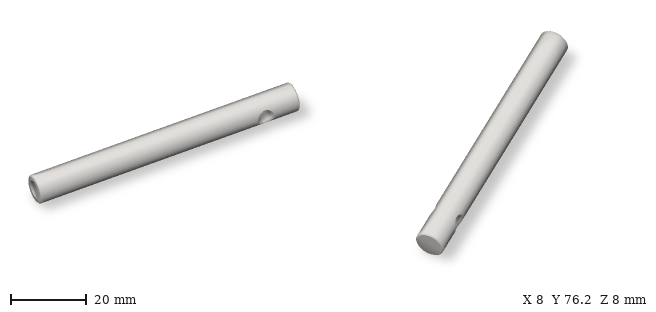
import cadquery as cq
import math

length = 76.2
rod_diameter = 8.0
end_chamfer = 0.3

bore_diameter = 5.0
bore_depth = 20.0
drill_point_angle = 118.0

cross_diameter = 4.05
cross_end_distance = 10.0
cross_edge_chamfer = 0.4

bore_radius = bore_diameter / 2
bore_tip_length = bore_radius / math.tan(math.radians(drill_point_angle / 2))
front_y = -length / 2
cross_y = length / 2 - cross_end_distance


def make_rod():
    """Round bar with both ends chamfered."""
    rod = cq.Workplane("XZ").circle(rod_diameter / 2).extrude(length / 2, both=True)
    return rod.faces("<Y or >Y").chamfer(end_chamfer)


def drill_cross_hole(body):
    """Through hole with both of its curved rims broken by a chamfer."""
    cutter = (
        cq.Workplane("YZ")
        .center(cross_y, 0)
        .circle(cross_diameter / 2)
        .extrude(rod_diameter, both=True)
    )
    rim_zone = cq.selectors.BoxSelector(
        (-rod_diameter, cross_y - cross_diameter, -rod_diameter),
        (rod_diameter, cross_y + cross_diameter, rod_diameter),
        boundingbox=True,
    )
    return body.cut(cutter).edges(rim_zone).chamfer(cross_edge_chamfer)


def make_bore():
    """Drill shape: a cylinder ending in a conical point."""
    return (
        cq.Workplane("XY")
        .moveTo(0, front_y)
        .lineTo(bore_radius, front_y)
        .lineTo(bore_radius, front_y + bore_depth)
        .lineTo(0, front_y + bore_depth + bore_tip_length)
        .close()
        .revolve(360, (0, 0, 0), (0, 1, 0))
    )


result = drill_cross_hole(make_rod()).cut(make_bore())